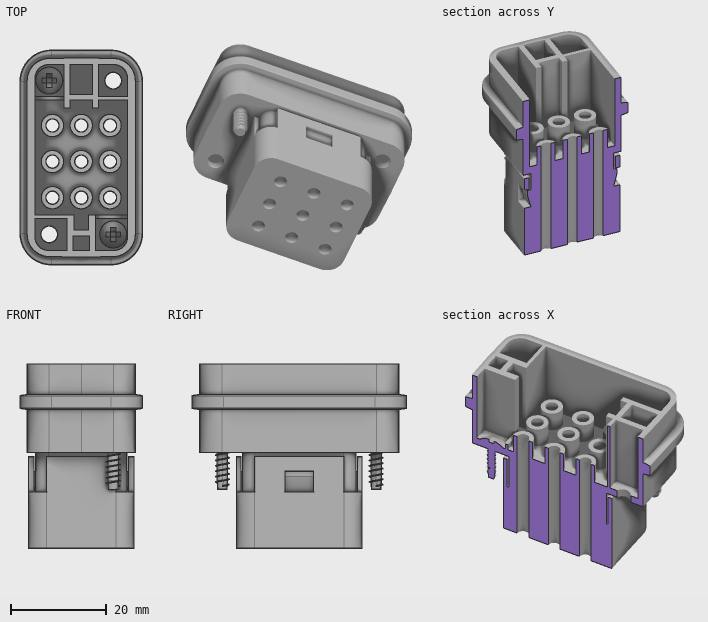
import cadquery as cq
import math

FULL_TURN = 360

BLOCK_SHOULDER_Z = 11.8
PLATE_TOP_Z = 19.15
SHELL_BOTTOM_Z = 19.95
FLOOR_Z = 21.8
TUBE_TOP_Z = 26.35
FLANGE_BOTTOM_Z = 28.95
FLANGE_TOP_Z = 32.08
SHELL_TOP_Z = 38.5

SHELL_WIDTH = 22.55
SHELL_LENGTH = 41.55
SHELL_CORNER_RADIUS = 4.55
END_CROWN = 0.2
FLANGE_WIDTH = 25.6
FLANGE_LENGTH = 44.8
FLANGE_CORNER_RADIUS = 6.6
FLANGE_SLOPE_WIDTH = 1.5
FLANGE_SLOPE_DROP = 0.22
FLANGE_EDGE_RADIUS = 0.22

CAVITY_HALF_WIDTH = 9.68
CAVITY_HALF_LENGTH = 19.4
CAVITY_CORNER_RADIUS = 2.9
CROSS_WALL_INNER_Y = 11.95
CROSS_WALL_THICKNESS = 0.75
CROSS_WALL_OUTER_Y = CROSS_WALL_INNER_Y + CROSS_WALL_THICKNESS
SILL_HEIGHT = 1.35

RIB_OUTER_X = 3.6
RIB_INNER_X = 2.37
RIB_END_Y = 10.3
CENTRE_WALL_OUTER_Y = 13.13

KEY_WALL_OUTER_X = 3.0
KEY_SLOT_HALF_WIDTH = 1.52
KEY_SLOT_END_Y = -15.1
KEY_POCKET_HALF_WIDTH = 1.7
KEY_POCKET_START_Y = -16.4

BLOCK_WIDTH = 22.05
BLOCK_LENGTH = 26.25
BLOCK_CORNER_RADIUS = 3.8
NECK_WIDTH = 19.1
NECK_LENGTH = 23.75
NECK_CORNER_RADIUS = 2.7
SIDE_PLATE_THICKNESS = 1.2
END_PLATE_THICKNESS = 1.0
SIDE_PLATE_WIDTH = BLOCK_LENGTH - 2 * BLOCK_CORNER_RADIUS
END_PLATE_WIDTH = BLOCK_WIDTH - 2 * BLOCK_CORNER_RADIUS

WINDOW_WIDTH = 6.0
WINDOW_TOP_Z = 16.15
LATCH_TOP_Z = 16.05
LATCH_RAMP_Z = 14.9
LATCH_PROJECTION = 0.8

CONTACT_PITCH_X = 6.0
CONTACT_PITCH_Y = 7.53
CONTACT_CENTRE_Y = -0.85
TUBE_DIAMETER = 4.65
CONTACT_HOLE_DIAMETER = 2.7

SCREW_X = 6.68
SCREW_Y = 16.05
SCREW_HOLE_DIAMETER = 3.45
HEAD_DIAMETER = 5.65
HEAD_HEIGHT = 1.08
RECESS_SPAN = 3.67
RECESS_FLOOR_SPAN = 1.08
RECESS_ARM_WIDTH = 1.08
RECESS_DEPTH = 1.0
SCREW_TIP_Z = 12.28
SCREW_TAPER_Z = 14.1
CORE_RADIUS = 1.1
TIP_RADIUS = 1.0
THREAD_RADIUS = 1.5
THREAD_TIP_RADIUS = 1.15
THREAD_PITCH = 1.1
THREAD_START_Z = 12.8
THREAD_HALF_HEIGHT = 0.2
THREAD_ROOT_OVERLAP = 0.25


def box_between(x0, x1, y0, y1, z0, z1):
    """Box given by its limits along each axis."""
    box = cq.Workplane("XY").box(x1 - x0, y1 - y0, z1 - z0, centered=False)
    return box.translate((x0, y0, z0))


def rounded_block(width, length, radius, z0, z1):
    """Centred block with rounded vertical edges."""
    block = cq.Workplane("XY", origin=(0, 0, z0)).rect(width, length).extrude(z1 - z0)
    return block.edges("|Z").fillet(radius)


def cylinder(x, y, diameter, z0, z1):
    """Upright cylinder between two heights."""
    return cq.Workplane("XY", origin=(x, y, z0)).circle(diameter / 2).extrude(z1 - z0)


def shell_body():
    half_width = SHELL_WIDTH / 2
    ridge_y = SHELL_LENGTH / 2
    side_y = ridge_y - END_CROWN
    outline = [
        (half_width, side_y),
        (0, ridge_y),
        (-half_width, side_y),
        (-half_width, -side_y),
        (0, -ridge_y),
        (half_width, -side_y),
    ]
    body = cq.Workplane("XY", origin=(0, 0, SHELL_BOTTOM_Z)).polyline(outline).close()
    body = body.extrude(SHELL_TOP_Z - SHELL_BOTTOM_Z)
    body = body.edges("|Z and (>X or <X)").fillet(SHELL_CORNER_RADIUS)
    flange = rounded_block(FLANGE_WIDTH, FLANGE_LENGTH, FLANGE_CORNER_RADIUS, FLANGE_BOTTOM_Z, FLANGE_TOP_Z)
    for face in (">Z", "<Z"):
        flange = flange.faces(face).edges().chamfer(FLANGE_SLOPE_DROP, FLANGE_SLOPE_WIDTH)
    flange = flange.faces("#Z").edges("not |Z").fillet(FLANGE_EDGE_RADIUS)
    return body.union(flange)


def cavity():
    return rounded_block(
        2 * CAVITY_HALF_WIDTH, 2 * CAVITY_HALF_LENGTH, CAVITY_CORNER_RADIUS, FLOOR_Z, SHELL_TOP_Z
    )


def full_wall(x0, x1, y0, y1):
    """Dividing wall from the shell floor to the rim."""
    return box_between(x0, x1, y0, y1, SHELL_BOTTOM_Z, SHELL_TOP_Z)


def sill(x0, x1, y0, y1):
    """Low wall standing on the shell floor."""
    return box_between(x0, x1, y0, y1, SHELL_BOTTOM_Z, FLOOR_Z + SILL_HEIGHT)


def dividing_walls():
    side_x = (CAVITY_HALF_WIDTH + SHELL_WIDTH / 2) / 2
    end_y = (CAVITY_HALF_LENGTH + SHELL_LENGTH / 2) / 2
    inner_y = CROSS_WALL_INNER_Y
    outer_y = CROSS_WALL_OUTER_Y

    walls = full_wall(-RIB_OUTER_X, -RIB_INNER_X, RIB_END_Y, end_y)
    walls = walls.union(full_wall(RIB_INNER_X, RIB_OUTER_X, RIB_END_Y, end_y))
    walls = walls.union(full_wall(-RIB_INNER_X, RIB_INNER_X, inner_y, CENTRE_WALL_OUTER_Y))
    walls = walls.union(full_wall(RIB_OUTER_X, side_x, inner_y, outer_y))
    walls = walls.union(sill(-side_x, -RIB_OUTER_X, inner_y, outer_y))

    key = full_wall(-KEY_WALL_OUTER_X, KEY_WALL_OUTER_X, -end_y, -inner_y)
    key_slot = box_between(
        -KEY_SLOT_HALF_WIDTH, KEY_SLOT_HALF_WIDTH, KEY_SLOT_END_Y, -inner_y, FLOOR_Z, SHELL_TOP_Z
    )
    key_pocket = box_between(
        -KEY_POCKET_HALF_WIDTH, KEY_POCKET_HALF_WIDTH,
        -CAVITY_HALF_LENGTH, KEY_POCKET_START_Y, FLOOR_Z, SHELL_TOP_Z,
    )
    walls = walls.union(key.cut(key_slot).cut(key_pocket))
    walls = walls.union(full_wall(-side_x, -KEY_WALL_OUTER_X, -outer_y, -inner_y))
    return walls.union(sill(KEY_WALL_OUTER_X, side_x, -outer_y, -inner_y))


def side_plates():
    """Pair of windowed plates on the X sides."""
    outer_x = BLOCK_WIDTH / 2
    half = SIDE_PLATE_WIDTH / 2
    plate = box_between(outer_x - SIDE_PLATE_THICKNESS, outer_x, -half, half, 0, PLATE_TOP_Z)
    window = box_between(
        0, outer_x, -WINDOW_WIDTH / 2, WINDOW_WIDTH / 2, BLOCK_SHOULDER_Z, WINDOW_TOP_Z
    )
    plate = plate.cut(window)
    return plate.union(plate.mirror("YZ"))


def end_plates():
    """Pair of plates on the Y ends, each tied to the neck by a pad."""
    outer_y = BLOCK_LENGTH / 2
    half = END_PLATE_WIDTH / 2
    plate = box_between(-half, half, outer_y - END_PLATE_THICKNESS, outer_y, 0, PLATE_TOP_Z)
    pad = box_between(
        -WINDOW_WIDTH / 2, WINDOW_WIDTH / 2, NECK_LENGTH / 2, outer_y - END_PLATE_THICKNESS,
        BLOCK_SHOULDER_Z, LATCH_TOP_Z,
    )
    plate = plate.union(pad)
    return plate.union(plate.mirror("XZ"))


def latches():
    """Wedges on the neck that project into the plate windows."""
    neck_x = NECK_WIDTH / 2
    crest_x = neck_x + LATCH_PROJECTION
    profile = [
        (0, BLOCK_SHOULDER_Z),
        (neck_x, BLOCK_SHOULDER_Z),
        (crest_x, LATCH_RAMP_Z),
        (crest_x, LATCH_TOP_Z),
        (0, LATCH_TOP_Z),
    ]
    wedge = cq.Workplane("XZ").polyline(profile).close().extrude(WINDOW_WIDTH / 2, both=True)
    return wedge.union(wedge.mirror("YZ"))


def contact_block():
    block = rounded_block(BLOCK_WIDTH, BLOCK_LENGTH, BLOCK_CORNER_RADIUS, 0, BLOCK_SHOULDER_Z)
    neck = rounded_block(NECK_WIDTH, NECK_LENGTH, NECK_CORNER_RADIUS, 0, SHELL_BOTTOM_Z)
    return block.union(neck).union(side_plates()).union(end_plates()).union(latches())


def contact_positions():
    steps = (-1, 0, 1)
    return [(i * CONTACT_PITCH_X, CONTACT_CENTRE_Y + j * CONTACT_PITCH_Y) for i in steps for j in steps]


def screw_shank():
    profile = [
        (0, SCREW_TIP_Z),
        (TIP_RADIUS, SCREW_TIP_Z),
        (CORE_RADIUS, SCREW_TAPER_Z),
        (CORE_RADIUS, FLOOR_Z),
        (0, FLOOR_Z),
    ]
    return cq.Workplane("XZ").polyline(profile).close().revolve(FULL_TURN, (0, 0), (0, 1))


def screw_thread():
    """Helical ridge whose lower turns narrow towards the tip."""
    length = FLOOR_Z - THREAD_START_Z - 2 * THREAD_HALF_HEIGHT
    root_radius = CORE_RADIUS - THREAD_ROOT_OVERLAP
    helix = cq.Wire.makeHelix(THREAD_PITCH, length, root_radius)
    ridge = (
        cq.Workplane("XZ")
        .polyline([(root_radius, -THREAD_HALF_HEIGHT), (THREAD_RADIUS, 0), (root_radius, THREAD_HALF_HEIGHT)])
        .close()
        .sweep(cq.Workplane(helix), isFrenet=True)
        .translate((0, 0, THREAD_START_Z + THREAD_HALF_HEIGHT))
    )
    envelope = (
        cq.Workplane("XZ")
        .polyline([
            (0, SCREW_TIP_Z),
            (THREAD_TIP_RADIUS, SCREW_TIP_Z),
            (THREAD_RADIUS + THREAD_HALF_HEIGHT, SCREW_TAPER_Z),
            (THREAD_RADIUS + THREAD_HALF_HEIGHT, FLOOR_Z),
            (0, FLOOR_Z),
        ])
        .close()
        .revolve(FULL_TURN, (0, 0), (0, 1))
    )
    return ridge.intersect(envelope)


def screw_head():
    """Domed head with a tapered cross recess, seated on the shell floor."""
    crown_z = FLOOR_Z + HEAD_HEIGHT
    radius = HEAD_DIAMETER / 2
    sphere_radius = (radius**2 + HEAD_HEIGHT**2) / (2 * HEAD_HEIGHT)
    sphere_z = crown_z - sphere_radius
    mid_point = (radius / 2, sphere_z + math.sqrt(sphere_radius**2 - (radius / 2) ** 2))
    dome = (
        cq.Workplane("XZ")
        .moveTo(0, SHELL_BOTTOM_Z)
        .lineTo(radius, SHELL_BOTTOM_Z)
        .lineTo(radius, FLOOR_Z)
        .threePointArc(mid_point, (0, crown_z))
        .close()
        .revolve(FULL_TURN, (0, 0), (0, 1))
    )
    arm_profile = [
        (-RECESS_SPAN / 2, crown_z),
        (-RECESS_FLOOR_SPAN / 2, crown_z - RECESS_DEPTH),
        (RECESS_FLOOR_SPAN / 2, crown_z - RECESS_DEPTH),
        (RECESS_SPAN / 2, crown_z),
    ]
    for plane in ("XZ", "YZ"):
        arm = cq.Workplane(plane).polyline(arm_profile).close().extrude(RECESS_ARM_WIDTH / 2, both=True)
        dome = dome.cut(arm)
    return dome


shell = shell_body().cut(cavity()).union(dividing_walls())
for x, y in contact_positions():
    shell = shell.union(cylinder(x, y, TUBE_DIAMETER, SHELL_BOTTOM_Z, TUBE_TOP_Z))

result = shell.union(contact_block())
for x, y in contact_positions():
    result = result.cut(cylinder(x, y, CONTACT_HOLE_DIAMETER, 0, TUBE_TOP_Z))
for side in (1, -1):
    hole = cylinder(side * SCREW_X, side * SCREW_Y, SCREW_HOLE_DIAMETER, SHELL_BOTTOM_Z, FLOOR_Z)
    result = result.cut(hole)

screw = screw_shank().union(screw_thread())
head = screw_head()
for side in (1, -1):
    place = (-side * SCREW_X, side * SCREW_Y, 0)
    result = result.union(screw.translate(place)).union(head.translate(place))